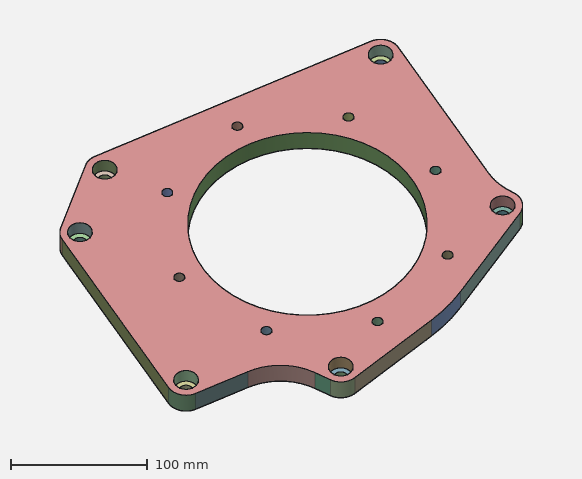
import cadquery as cq
import math

thickness = 18.01
overall_width = 277.57
overall_length = 312.29
left_edge = -131.23
right_edge = 103.3
top_edge = 139.35
bottom_edge = -164.2
rim_radius = 129.2
corner_radius = 14.7
blend_radius = 49.05

bore_diameter = 174.8
bolt_circle_radius = 106.6
bolt_hole_diameter = 7.9
bolt_hole_count = 8

mount_hole_diameter = 10.4
counterbore_diameter = 18.0
counterbore_depth = 12.0
upper_lug = (52.9, bottom_edge + overall_length - corner_radius)
side_lug = (left_edge + overall_width - corner_radius, -44.3)
upper_left_mount = (left_edge + corner_radius, top_edge - corner_radius)
lower_left_mount = (left_edge + corner_radius, -104.9)
bottom_left_mount = (-72.75, bottom_edge + corner_radius)
bottom_right_mount = (right_edge - corner_radius, bottom_edge + corner_radius)
mounts = [
    upper_left_mount,
    upper_lug,
    side_lug,
    bottom_right_mount,
    bottom_left_mount,
    lower_left_mount,
]

right, up, left, down = 0, 90, 180, 270
half_turn = 180
full_turn = 360
side_lug_flank_normal = 300


def point_on_circle(center, radius, angle):
    """The point of a circle in the given direction from its center."""
    radians = math.radians(angle)
    return (center[0] + radius * math.cos(radians), center[1] + radius * math.sin(radians))


def rim_tangent_normal(lug, side):
    """Direction of the normal of the straight edge that is tangent to a lug and the rim."""
    offset = math.acos((rim_radius - corner_radius) / math.hypot(*lug))
    return math.degrees(math.atan2(lug[1], lug[0]) + side * offset)


def add_arc(outline, center, radius, start, end):
    """Continue the outline along an arc that begins where the outline ends."""
    middle = point_on_circle(center, radius, (start + end) / 2)
    return outline.threePointArc(middle, point_on_circle(center, radius, end))


def add_line_and_arc(outline, center, radius, start, end):
    """Run straight to the arc's start, then along the arc to its end."""
    outline = outline.lineTo(*point_on_circle(center, radius, start))
    return add_arc(outline, center, radius, start, end)


def make_plate():
    rise = top_edge + blend_radius - upper_lug[1]
    run = math.sqrt((blend_radius + corner_radius) ** 2 - rise**2)
    top_blend = (upper_lug[0] - run, top_edge + blend_radius)
    upper_lug_start = math.degrees(math.atan2(rise, -run))

    flank_normal = math.radians(side_lug_flank_normal)
    blend_x = right_edge + blend_radius
    across = corner_radius + blend_radius - (blend_x - side_lug[0]) * math.cos(flank_normal)
    side_blend = (blend_x, side_lug[1] + across / math.sin(flank_normal))

    upper_normal = rim_tangent_normal(upper_lug, -1)
    side_normal = rim_tangent_normal(side_lug, 1)
    chamfer_run = bottom_left_mount[0] - lower_left_mount[0]
    chamfer_drop = lower_left_mount[1] - bottom_left_mount[1]
    chamfer_normal = left + math.degrees(math.atan2(chamfer_run, chamfer_drop))

    arcs_after_lines = [
        ((0, 0), rim_radius, upper_normal, side_normal),
        (side_lug, corner_radius, side_normal, side_lug_flank_normal - full_turn),
        (side_blend, blend_radius, side_lug_flank_normal - half_turn, left),
        (bottom_right_mount, corner_radius, right, down - full_turn),
        (bottom_left_mount, corner_radius, down, chamfer_normal),
        (lower_left_mount, corner_radius, chamfer_normal, left),
    ]
    start = point_on_circle(upper_left_mount, corner_radius, left)
    outline = cq.Workplane("XY").moveTo(*start)
    outline = add_arc(outline, upper_left_mount, corner_radius, left, up)
    outline = add_line_and_arc(outline, top_blend, blend_radius, down, upper_lug_start + half_turn)
    outline = add_arc(outline, upper_lug, corner_radius, upper_lug_start, upper_normal)
    for arc in arcs_after_lines:
        outline = add_line_and_arc(outline, *arc)
    return outline.close().extrude(thickness)


def cut_bore(body):
    return body.faces(">Z").workplane(origin=(0, 0)).hole(bore_diameter)


def cut_bolt_circle(body):
    return (
        body.faces(">Z")
        .workplane(origin=(0, 0))
        .polarArray(bolt_circle_radius, 0, full_turn, bolt_hole_count)
        .hole(bolt_hole_diameter)
    )


def cut_mounts(body):
    return (
        body.faces(">Z")
        .workplane(origin=(0, 0))
        .pushPoints(mounts)
        .cboreHole(mount_hole_diameter, counterbore_diameter, counterbore_depth)
    )


result = cut_mounts(cut_bolt_circle(cut_bore(make_plate())))